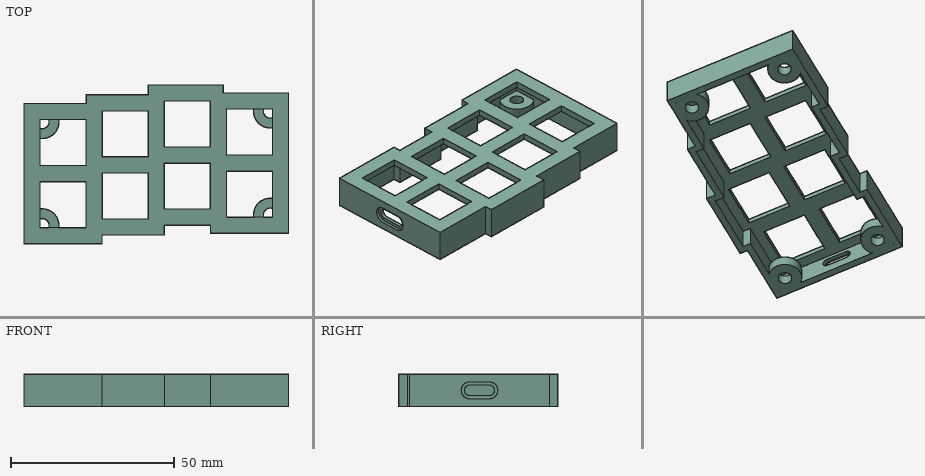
import cadquery as cq

key_pitch = 19.05
key_opening = 14.0
key_margin = 5.0
keys_per_column = 2
column_offsets = [0.0, 2.67, 5.715, 3.24]
crest_trim = 0.95

case_height = 10.0
plate_thickness = 2.0
wall_thickness = 2.0

post_diameter = 10.3
post_hole_diameter = 4.12
post_height = 4.0
post_inset = 5.65

slot_width = 9.2
slot_height = 3.2
recess_margin = 1.0
recess_depth = 0.9

column_count = len(column_offsets)
column_width = key_opening + 2 * key_margin
column_length = (keys_per_column - 1) * key_pitch + column_width
case_length = (column_count - 1) * key_pitch + column_width
cavity_height = case_height - plate_thickness


def step_positions(column):
    """X of the -Y side and +Y side steps between a column and the next one."""
    column_end = column * key_pitch + column_width
    next_start = (column + 1) * key_pitch
    if column_offsets[column + 1] > column_offsets[column]:
        return column_end, next_start
    return next_start, column_end - crest_trim


def case_outline():
    """Closed stepped outline around the staggered columns, on the bottom plane."""
    steps = [step_positions(column) for column in range(column_count - 1)]
    corners = [(0.0, 0.0)] + steps + [(case_length, case_length)]
    near_points = []
    far_points = []
    for column, near_y in enumerate(column_offsets):
        far_y = near_y + column_length
        near_start, far_start = corners[column]
        near_end, far_end = corners[column + 1]
        near_points += [(near_start, near_y), (near_end, near_y)]
        far_points += [(far_start, far_y), (far_end, far_y)]
    return cq.Workplane("XY").polyline(near_points + far_points[::-1]).close()


def key_openings():
    """Square cutters through the full height, one for every key."""
    center = column_width / 2
    key_centers = [
        (column * key_pitch + center, offset + row * key_pitch + center)
        for column, offset in enumerate(column_offsets)
        for row in range(keys_per_column)
    ]
    return (
        cq.Workplane("XY")
        .pushPoints(key_centers)
        .rect(key_opening, key_opening)
        .extrude(case_height)
    )


def corner_cylinders(diameter, height):
    """One cylinder on each post axis, standing on the bottom plane."""
    ends = [
        (post_inset, column_offsets[0]),
        (case_length - post_inset, column_offsets[-1]),
    ]
    post_centers = [
        (x, offset + y)
        for x, offset in ends
        for y in (post_inset, column_length - post_inset)
    ]
    return cq.Workplane("XY").pushPoints(post_centers).circle(diameter / 2).extrude(height)


def cable_slot():
    """Round-ended slot and plug recess, centred on the +X wall."""
    slot_y = column_offsets[-1] + column_length / 2
    outer_face = cq.Workplane("YZ", origin=(case_length, slot_y, case_height / 2))
    recess_width = slot_width + 2 * recess_margin
    recess_height = slot_height + 2 * recess_margin
    opening = outer_face.slot2D(slot_width, slot_height).extrude(-wall_thickness)
    recess = outer_face.slot2D(recess_width, recess_height).extrude(-recess_depth)
    return opening.union(recess)


outer_block = case_outline().extrude(case_height)
cavity = case_outline().offset2D(-wall_thickness, "intersection").extrude(cavity_height)
posts = corner_cylinders(post_diameter, post_height).intersect(outer_block)

result = (
    outer_block.cut(cavity)
    .cut(key_openings())
    .union(posts)
    .cut(corner_cylinders(post_hole_diameter, post_height))
    .cut(cable_slot())
)